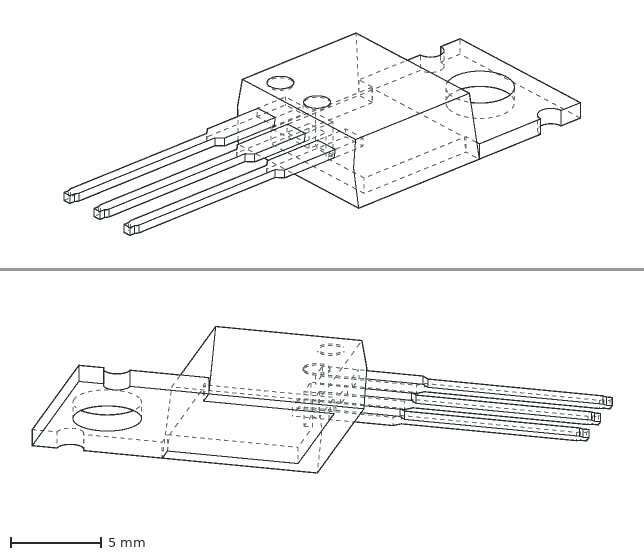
import cadquery as cq

BODY_WIDTH = 10.15
BODY_TOP_WIDTH = 9.55
BODY_HEIGHT = 4.2
PARTING_HEIGHT = 2.53
BODY_BACK_Y = 9.05
BODY_TOP_BACK_Y = 8.6
BODY_FRONT_Y = 0.15
PARTING_FRONT_Y = -0.05
BODY_TOP_FRONT_Y = 0.2

TAB_THICKNESS = 0.97
TAB_END_Y = 16.53
HOLE_DIAMETER = 3.8
HOLE_FROM_END = 2.97
NOTCH_RADIUS = 0.75
NOTCH_FROM_END = 2.2

TONGUE_WIDTH = 7.87
TONGUE_FRONT_Y = 1.55

OVERALL_LENGTH = 31.25
LEAD_PITCH = 2.53
LEAD_THICKNESS = 0.5
LEAD_WIDE = 1.47
LEAD_NARROW = 0.72
LEAD_TIP = 0.5
SHOULDER_START_Y = -3.72
SHOULDER_LENGTH = 0.37
TIP_LENGTH = 0.55
TIP_TAPER = 0.22
LEAD_EMBED = 2.05
LEAD_END_Y = TAB_END_Y - OVERALL_LENGTH

MARK_DIAMETER = 1.5
MARK_DEPTH = 0.1
MARK_Y = 1.53
MARK_XS = (-3.1, 0.0)


def make_lead(center_x):
    """Flat lead with a wide root, sloped shoulders and a narrow tip."""
    shoulder_end_y = SHOULDER_START_Y - SHOULDER_LENGTH
    tip_y = LEAD_END_Y + TIP_LENGTH
    right_side = [
        (LEAD_WIDE / 2, LEAD_EMBED),
        (LEAD_WIDE / 2, SHOULDER_START_Y),
        (LEAD_NARROW / 2, shoulder_end_y),
        (LEAD_NARROW / 2, tip_y),
        (LEAD_TIP / 2, tip_y - TIP_TAPER),
        (LEAD_TIP / 2, LEAD_END_Y),
    ]
    left_side = [(-x, y) for x, y in reversed(right_side)]
    return (
        cq.Workplane("XY")
        .polyline(right_side + left_side)
        .close()
        .extrude(LEAD_THICKNESS)
        .translate((center_x, 0, PARTING_HEIGHT))
    )


def make_mark(center_x):
    """Shallow disc whose upper face is level with the body top."""
    return (
        cq.Workplane("XY", origin=(center_x, MARK_Y, BODY_HEIGHT - MARK_DEPTH))
        .circle(MARK_DIAMETER / 2)
        .extrude(MARK_DEPTH)
    )


def make_body_block():
    """Side profile extruded across X, then trimmed by the sloping side faces."""
    side_profile = [
        (BODY_BACK_Y, 0),
        (BODY_TOP_BACK_Y, BODY_HEIGHT),
        (BODY_TOP_FRONT_Y, BODY_HEIGHT),
        (PARTING_FRONT_Y, PARTING_HEIGHT),
        (BODY_FRONT_Y, 0),
    ]
    front_outline = [
        (-BODY_WIDTH / 2, 0),
        (BODY_WIDTH / 2, 0),
        (BODY_TOP_WIDTH / 2, BODY_HEIGHT),
        (-BODY_TOP_WIDTH / 2, BODY_HEIGHT),
    ]
    block = cq.Workplane("YZ").polyline(side_profile).close().extrude(BODY_WIDTH / 2, both=True)
    sides = cq.Workplane("XZ").polyline(front_outline).close().extrude(BODY_BACK_Y, both=True)
    return block.intersect(sides)


def make_tab():
    """Flat mounting plate with a screw hole and a round notch in each side."""
    tab = cq.Workplane("XY", origin=(0, BODY_BACK_Y, 0)).box(
        BODY_WIDTH, TAB_END_Y - BODY_BACK_Y, TAB_THICKNESS, centered=(True, False, False)
    )
    hole = (
        cq.Workplane("XY")
        .center(0, TAB_END_Y - HOLE_FROM_END)
        .circle(HOLE_DIAMETER / 2)
        .extrude(TAB_THICKNESS)
    )
    notches = (
        cq.Workplane("XY")
        .pushPoints([(side * BODY_WIDTH / 2, TAB_END_Y - NOTCH_FROM_END) for side in (-1, 1)])
        .circle(NOTCH_RADIUS)
        .extrude(TAB_THICKNESS)
    )
    return tab.cut(hole).cut(notches)


def make_lead_frame():
    """Tab, its tongue inside the body, the riser and the middle lead in one piece."""
    tongue = cq.Workplane("XY", origin=(0, TONGUE_FRONT_Y, 0)).box(
        TONGUE_WIDTH, BODY_BACK_Y - TONGUE_FRONT_Y, TAB_THICKNESS, centered=(True, False, False)
    )
    riser = cq.Workplane("XY", origin=(0, TONGUE_FRONT_Y, 0)).box(
        LEAD_WIDE,
        LEAD_EMBED - TONGUE_FRONT_Y,
        PARTING_HEIGHT + LEAD_THICKNESS,
        centered=(True, False, False),
    )
    return make_tab().union(tongue).union(riser).union(make_lead(0))


lead_frame = make_lead_frame()
outer_leads = [make_lead(side * LEAD_PITCH) for side in (-1, 1)]
marks = [make_mark(x) for x in MARK_XS]

inserts = [lead_frame, *outer_leads, *marks]
housing = make_body_block()
for insert in inserts:
    housing = housing.cut(insert)

result = cq.Compound.makeCompound([housing.val(), *[insert.val() for insert in inserts]])